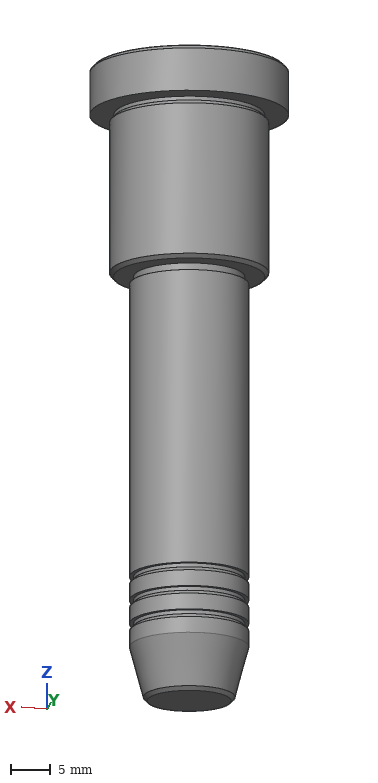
import cadquery as cq
import math

length = 82.0
head_radius = 25.0 / 2
head_height = 6.0
collar_radius = 20.0 / 2
collar_height = 21.0
shank_radius = 15.0 / 2

edge = 0.5
relief_depth = 0.5
relief_width = 1.0

tip_height = 7.0
taper_angle = 15.0
groove_count = 3
groove_pitch = 3.0
groove_width = 1.0
groove_depth = 0.5
first_groove_z = 9.0

head_bottom = length - head_height
collar_bottom = head_bottom - collar_height
tip_radius = shank_radius - (tip_height - edge) * math.tan(math.radians(taper_angle))


def body():
    """Revolved head, collar, shank and tip."""
    profile = [
        (0, 0),
        (tip_radius - edge, 0),
        (tip_radius, edge),
        (shank_radius, tip_height),
        (shank_radius, collar_bottom - relief_width),
        (shank_radius - relief_depth, collar_bottom - relief_width),
        (shank_radius - relief_depth, collar_bottom),
        (collar_radius - edge, collar_bottom),
        (collar_radius, collar_bottom + edge),
        (collar_radius, head_bottom - 2 * edge),
        (collar_radius - edge, head_bottom - edge),
        (collar_radius - edge, head_bottom),
        (head_radius, head_bottom),
        (head_radius, length - edge),
        (head_radius - edge, length),
        (0, length),
    ]
    return cq.Workplane("XZ").polyline(profile).close().revolve(360, (0, 0), (0, 1))


def groove(bottom_z):
    """Ring groove with a square upper wall and a 45 degree lower wall."""
    floor_radius = shank_radius - groove_depth
    top_z = bottom_z + groove_width
    section = [
        (shank_radius, bottom_z),
        (floor_radius, bottom_z + groove_depth),
        (floor_radius, top_z),
        (shank_radius, top_z),
    ]
    return cq.Workplane("XZ").polyline(section).close().revolve(360, (0, 0), (0, 1))


result = body()
for index in range(groove_count):
    result = result.cut(groove(first_groove_z + index * groove_pitch))